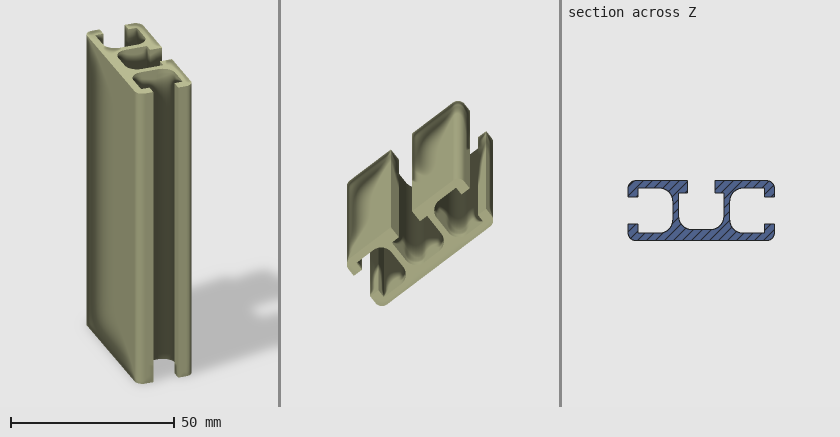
import cadquery as cq

WIDTH = 45.0
DEPTH = 18.5
LENGTH = 100.0
CORNER_RADIUS = 2.5

MOUTH_WIDTH = 8.2
CAVITY_WIDTH = 13.7
CAVITY_RADIUS = 4.0

SIDE_LIP = 3.2
SIDE_SLOT_DEPTH = 13.7

BACK_LIP = 4.0
BACK_SLOT_DEPTH = 15.0


def profile_body():
    """Rounded bar standing on Z = 0, centred on the Z axis."""
    bar = cq.Workplane("XY").rect(WIDTH, DEPTH).extrude(LENGTH)
    return bar.edges("|Z").fillet(CORNER_RADIUS)


def t_slot(lip, depth):
    """Slot cutter with its mouth on Y = 0, reaching to Y = -depth; its floor corners are rounded."""
    half_mouth = MOUTH_WIDTH / 2
    half_cavity = CAVITY_WIDTH / 2
    half_floor = half_cavity - CAVITY_RADIUS
    wall_end = CAVITY_RADIUS - depth
    return (
        cq.Workplane("XY")
        .moveTo(-half_mouth, 0)
        .lineTo(-half_mouth, -lip)
        .lineTo(-half_cavity, -lip)
        .lineTo(-half_cavity, wall_end)
        .radiusArc((-half_floor, -depth), -CAVITY_RADIUS)
        .lineTo(half_floor, -depth)
        .radiusArc((half_cavity, wall_end), -CAVITY_RADIUS)
        .lineTo(half_cavity, -lip)
        .lineTo(half_mouth, -lip)
        .lineTo(half_mouth, 0)
        .close()
        .extrude(LENGTH)
    )


def side_slot(direction):
    """Slot cutter on the +X side (direction 1) or the -X side (direction -1)."""
    slot = t_slot(SIDE_LIP, SIDE_SLOT_DEPTH)
    turned = slot.rotate((0, 0, 0), (0, 0, 1), -90 * direction)
    return turned.translate((direction * WIDTH / 2, 0, 0))


def back_slot():
    """Slot cutter in the middle of the +Y face."""
    return t_slot(BACK_LIP, BACK_SLOT_DEPTH).translate((0, DEPTH / 2, 0))


result = profile_body().cut(back_slot())
for side in (-1, 1):
    result = result.cut(side_slot(side))